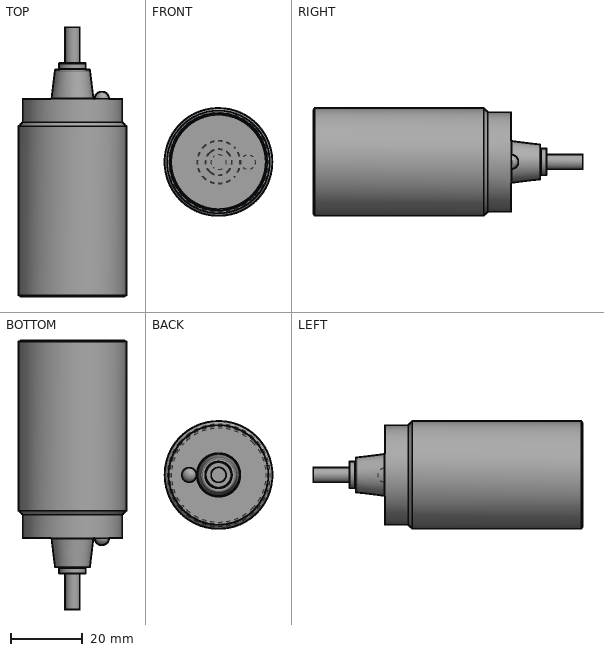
import cadquery as cq

total_length = 74.9

barrel_radius = 15.02
face_chamfer_width = 0.75
face_chamfer_length = 0.45
shoulder_start = 47.3

cap_radius = 13.85
shoulder_end = 48.5
cap_end = 55.0

relief_base_radius = 5.85
relief_flare = 0.2
relief_tip_radius = 4.9
relief_end = 63.15
relief_fillet = 0.4
collar_radius = 3.75
collar_end = 64.95
collar_chamfer = 0.2
cable_radius = 2.1

groove_outer_radius = 13.55
groove_inner_radius = 13.1
groove_depth = 0.4

lamp_radius = 2.0
lamp_offset = 8.2


def cylinder(radius, start, end):
    """Solid cylinder on the Y axis between two Y positions."""
    return cq.Workplane("XZ").workplane(offset=-start).circle(radius).extrude(start - end)


def make_housing():
    """Barrel with chamfered front edge, conical shoulder and rear cap."""
    return (
        cq.Workplane("XY")
        .moveTo(0, 0)
        .lineTo(barrel_radius - face_chamfer_width, 0)
        .lineTo(barrel_radius, face_chamfer_length)
        .lineTo(barrel_radius, shoulder_start)
        .lineTo(cap_radius, shoulder_end)
        .lineTo(cap_radius, cap_end)
        .lineTo(0, cap_end)
        .close()
        .revolve(360, (0, 0, 0), (0, 1, 0))
    )


def make_strain_relief():
    """Tapered sleeve with a flared foot and a rounded rim at its narrow end."""
    sleeve = (
        cq.Workplane("XY")
        .moveTo(0, cap_end)
        .lineTo(relief_base_radius + relief_flare, cap_end)
        .lineTo(relief_base_radius, cap_end + relief_flare)
        .lineTo(relief_tip_radius, relief_end)
        .lineTo(0, relief_end)
        .close()
        .revolve(360, (0, 0, 0), (0, 1, 0))
    )
    return sleeve.faces(">Y").edges().fillet(relief_fillet)


def make_face_groove():
    """Thin ring cut into the sensing face."""
    outer = cylinder(groove_outer_radius, 0, groove_depth)
    return outer.cut(cylinder(groove_inner_radius, 0, groove_depth))


collar = cylinder(collar_radius, relief_end, collar_end).faces("<Y or >Y").edges().chamfer(collar_chamfer)
cable = cylinder(cable_radius, collar_end, total_length)
lamp = cq.Workplane("XY").sphere(lamp_radius).translate((lamp_offset, cap_end, 0))

result = (
    make_housing()
    .cut(make_face_groove())
    .union(make_strain_relief())
    .union(collar)
    .union(cable)
    .union(lamp)
)